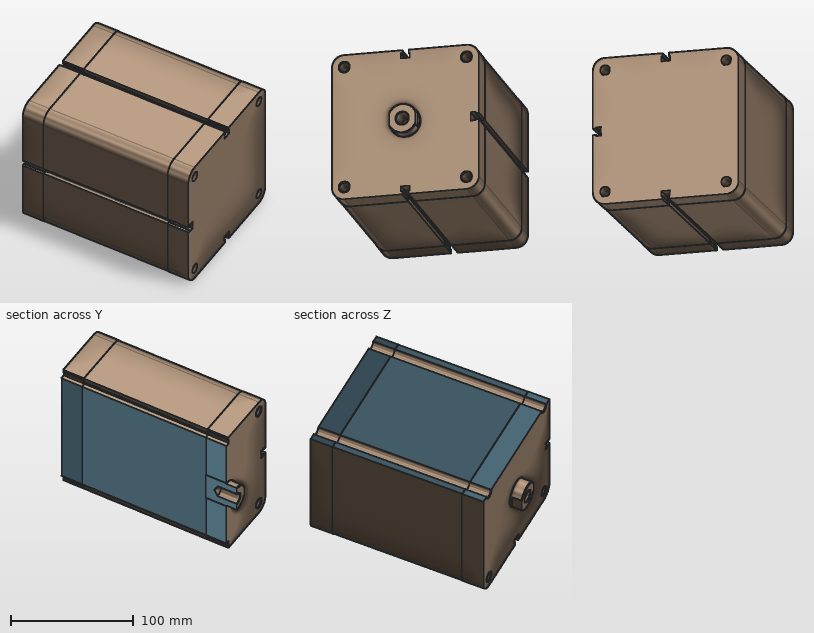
import cadquery as cq
import math

cover_side = 124.0
tube_side = 123.7
total_length = 167
rod_reach = 10.0
cover_length = 19.7
corner_radius = 10.4

bolt_offset = 51.6
bolt_hole_diameter = 8.2
bolt_chamfer = 0.7

slot_floor_offset = 55.1
slot_floor_width = 7.3
cover_neck_width = 5.5
tube_neck_width = 5.2
cover_neck_depth = 2.8
tube_neck_depth = 3.8

rod_diameter = 25.0
rod_chamfer = 0.5
rod_bore_chamfer = 0.5
flat_width = 22.0
flat_length = 8.5
rod_hole_diameter = 10.5
rod_hole_chamfer = 0.5
rod_hole_depth = 18.4
drill_tip_angle = 118

rod_tip = -total_length / 2
front_face = rod_tip + rod_reach
tube_front = front_face + cover_length
rear_face = total_length / 2
tube_rear = rear_face - cover_length


def section_plane(x):
    """Plane across the part at x, its local axes being Y and Z."""
    return cq.Workplane("YZ", origin=(x, 0, 0))


def make_slot(start, length, side, neck_width, neck_depth):
    """Cutter for a T-shaped slot in the top side."""
    top = side / 2
    neck_bottom = top - neck_depth
    outline = [
        (neck_width / 2, top),
        (neck_width / 2, neck_bottom),
        (slot_floor_width / 2, neck_bottom),
        (slot_floor_width / 2, slot_floor_offset),
        (-slot_floor_width / 2, slot_floor_offset),
        (-slot_floor_width / 2, neck_bottom),
        (-neck_width / 2, neck_bottom),
        (-neck_width / 2, top),
    ]
    return section_plane(start).polyline(outline).close().extrude(length)


def make_profile(start, length, side, neck_width, neck_depth):
    """Rounded square bar with three sensor slots and four bolt holes."""
    bar = section_plane(start).rect(side, side).extrude(length).edges("|X").fillet(corner_radius)
    slot = make_slot(start, length, side, neck_width, neck_depth)
    for angle in (0, 90, 180):
        bar = bar.cut(slot.rotate((0, 0, 0), (1, 0, 0), angle))
    holes = (
        section_plane(start)
        .rect(2 * bolt_offset, 2 * bolt_offset, forConstruction=True)
        .vertices()
        .circle(bolt_hole_diameter / 2)
        .extrude(length)
    )
    return bar.cut(holes)


def make_cover(start):
    return make_profile(start, cover_length, cover_side, cover_neck_width, cover_neck_depth)


def make_countersink(x, diameter, chamfer):
    """Cone that breaks the edge of a hole opening toward -X at x."""
    mouth = section_plane(x).circle(diameter / 2 + chamfer)
    return mouth.workplane(offset=chamfer).circle(diameter / 2).loft()


def make_front_cover():
    """Cover with chamfered bolt holes and a chamfered bore for the rod."""
    cover = make_cover(front_face)
    bolt_countersink = make_countersink(front_face, bolt_hole_diameter, bolt_chamfer)
    for y in (-bolt_offset, bolt_offset):
        for z in (-bolt_offset, bolt_offset):
            cover = cover.cut(bolt_countersink.translate((0, y, z)))
    rod_bore = section_plane(front_face).circle(rod_diameter / 2).extrude(cover_length)
    return cover.cut(rod_bore).cut(make_countersink(front_face, rod_diameter, rod_bore_chamfer))


def make_rear_cover():
    return make_cover(tube_rear)


def make_tube():
    return make_profile(tube_front, tube_rear - tube_front, tube_side, tube_neck_width, tube_neck_depth)


def make_drilled_hole():
    """Cutter for the blind hole in the rod tip, ending in a drill cone."""
    radius = rod_hole_diameter / 2
    cone_height = radius / math.tan(math.radians(drill_tip_angle / 2))
    cone_base = rod_tip + rod_hole_depth
    half_section = (
        cq.Workplane("XY")
        .moveTo(rod_tip, 0)
        .lineTo(rod_tip, radius + rod_hole_chamfer)
        .lineTo(rod_tip + rod_hole_chamfer, radius)
        .lineTo(cone_base, radius)
        .lineTo(cone_base + cone_height, 0)
        .close()
    )
    return half_section.revolve(360, (0, 0, 0), (1, 0, 0))


def make_rod():
    """Rod with two wrench flats and a blind hole in its tip."""
    rod_length = tube_front - rod_tip
    rod = section_plane(rod_tip).circle(rod_diameter / 2).extrude(rod_length).faces("<X").chamfer(rod_chamfer)
    flat_section = section_plane(rod_tip).rect(rod_diameter, rod_diameter).rect(flat_width, rod_diameter)
    rod = rod.cut(flat_section.extrude(flat_length))
    return rod.cut(make_drilled_hole())


front_cover = make_front_cover()
tube = make_tube()
rear_cover = make_rear_cover()
rod = make_rod()

result = cq.Compound.makeCompound([front_cover.val(), tube.val(), rear_cover.val(), rod.val()])